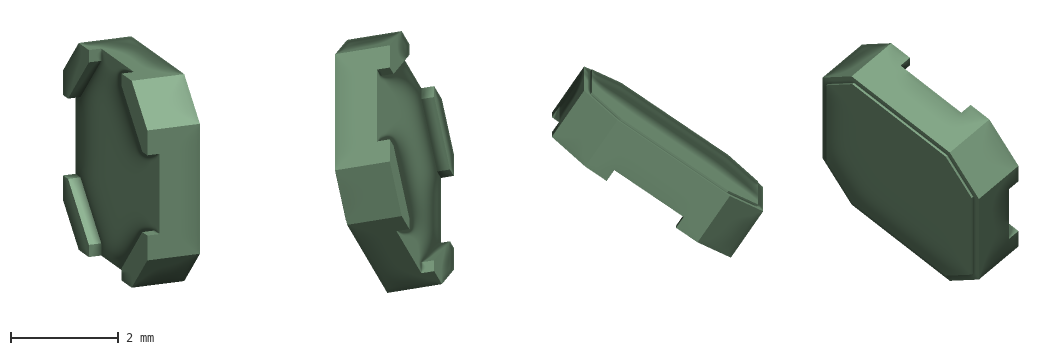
import cadquery as cq

width = 4.02
total_depth = 1.1
corner_cut = 0.748
foot_height = 0.25
foot_reach = 1.23
foot_end_width = 0.237
cover_thickness = 0.045
cover_width = 3.735
cover_corner_cut = 0.667

front_y = -total_depth / 2
floor_y = front_y + foot_height
back_y = total_depth / 2
cover_y = back_y - cover_thickness


def octagonal_plate(size, cut, y_start, y_end):
    """Square plate with 45 degree corner cuts, spanning y_start to y_end."""
    plate = cq.Workplane("XY").box(size, y_end - y_start, size)
    plate = plate.edges("|Y").chamfer(cut)
    return plate.translate((0, (y_start + y_end) / 2, 0))


def corner_foot(x_sign, z_sign):
    """Foot that follows one cut corner and stands out from the front face."""
    side = width / 2
    cut_start = side - corner_cut
    foot_end = side - foot_reach
    inner_end = side - foot_end_width
    outline = [
        (side, cut_start),
        (cut_start, side),
        (foot_end, side),
        (foot_end, inner_end),
        (inner_end, foot_end),
        (side, foot_end),
    ]
    placed = [(x_sign * x, z_sign * z) for x, z in outline]
    foot = cq.Workplane("XZ", origin=(0, floor_y, 0)).polyline(placed).close()
    return foot.extrude(foot_height)


body = octagonal_plate(width, corner_cut, floor_y, cover_y)
cover = octagonal_plate(cover_width, cover_corner_cut, cover_y, back_y)

result = body.union(cover)
for x_sign in (-1, 1):
    for z_sign in (-1, 1):
        result = result.union(corner_foot(x_sign, z_sign))